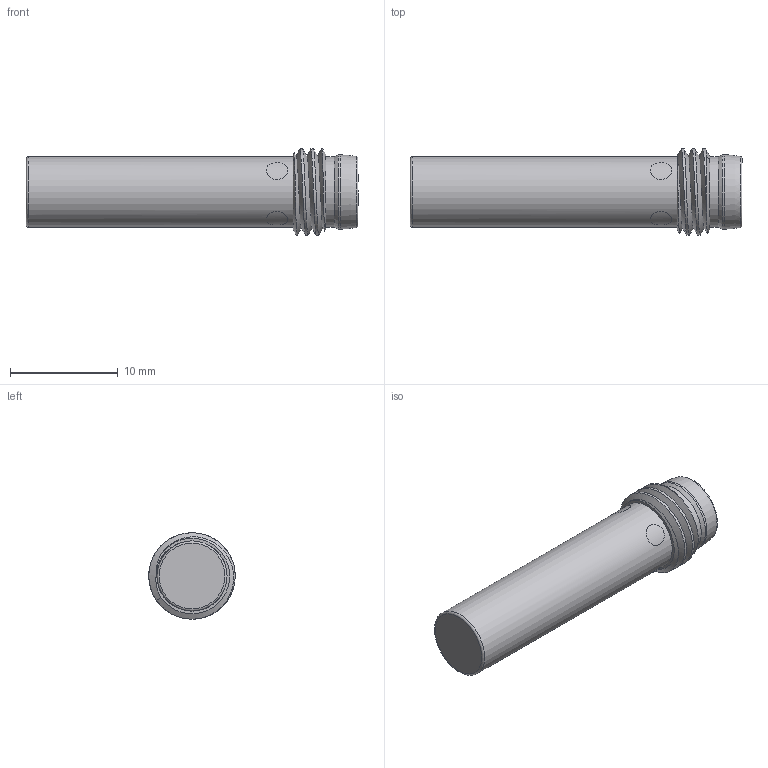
import cadquery as cq
import math

TOTAL_LENGTH = 30.75
BODY_RADIUS = 6.5 / 2
END_FILLET = 0.2

THREAD_RADIUS = 8.0 / 2
THREAD_PITCH = 1.0
THREAD_LENGTH = 3.0
HEAD_END_LENGTH = 3.0
THREAD_END = TOTAL_LENGTH - HEAD_END_LENGTH
THREAD_START = THREAD_END - THREAD_LENGTH
CREST_FLAT = 0.23
FLANK_HALF_ANGLE = 30.0
THREAD_CHAMFER_RADIAL = 0.5
THREAD_CHAMFER_AXIAL = THREAD_CHAMFER_RADIAL * math.tan(math.radians(FLANK_HALF_ANGLE))
GROOVE_PHASE = 0.25
GROOVE_LEAD_TURNS = 1
GROOVE_OVERCUT = 0.1

NECK_LENGTH = 0.8
HEAD_RADIUS = 6.9 / 2
HEAD_CONE_LENGTH = 0.35
HEAD_LAND_LENGTH = 0.2
HEAD_CROWN_SAG = 0.04

PIN_RADIUS = 2.0 / 2
PIN_COUNT = 4
PIN_X = 23.25
PIN_DEPTH = 1.0
PIN_ANGLE = 38.5


def make_body():
    """Revolve the shank, neck and crowned head, then round both end rims."""
    cone_start = THREAD_END + NECK_LENGTH
    land_start = cone_start + HEAD_CONE_LENGTH
    crown_start = land_start + HEAD_LAND_LENGTH
    crown_middle = (crown_start + TOTAL_LENGTH) / 2
    crown_middle_radius = (HEAD_RADIUS + BODY_RADIUS) / 2 + HEAD_CROWN_SAG
    profile = (
        cq.Workplane("XY")
        .moveTo(0, 0)
        .lineTo(0, BODY_RADIUS)
        .lineTo(cone_start, BODY_RADIUS)
        .lineTo(land_start, HEAD_RADIUS)
        .lineTo(crown_start, HEAD_RADIUS)
        .threePointArc((crown_middle, crown_middle_radius), (TOTAL_LENGTH, BODY_RADIUS))
        .lineTo(TOTAL_LENGTH, 0)
        .close()
    )
    body = profile.revolve(360, (0, 0, 0), (1, 0, 0))
    return body.faces("<X or >X").edges().fillet(END_FILLET)


def make_thread_groove():
    """Sweep the V groove of a right-handed thread, with the thread axis along Z."""
    flank_slope = math.tan(math.radians(FLANK_HALF_ANGLE))
    half_width = (THREAD_PITCH - CREST_FLAT) / 2
    root_radius = THREAD_RADIUS - half_width / flank_slope
    outer_radius = THREAD_RADIUS + GROOVE_OVERCUT
    outer_half_width = half_width + GROOVE_OVERCUT * flank_slope
    start = -GROOVE_PHASE - GROOVE_LEAD_TURNS * THREAD_PITCH
    height = THREAD_LENGTH + 2 * GROOVE_LEAD_TURNS * THREAD_PITCH
    helix = cq.Wire.makeHelix(THREAD_PITCH, height, THREAD_RADIUS, center=cq.Vector(0, 0, start))
    return (
        cq.Workplane("XZ")
        .moveTo(root_radius, start)
        .lineTo(outer_radius, start + outer_half_width)
        .lineTo(outer_radius, start - outer_half_width)
        .close()
        .sweep(cq.Workplane(helix), isFrenet=True)
    )


def make_chamfer_envelope():
    """Double cone on the Z axis that bounds the chamfered collar; its widest ring lies outside the crests."""
    chamfer_radius = THREAD_RADIUS - THREAD_CHAMFER_RADIAL
    middle = THREAD_LENGTH / 2
    widest_radius = chamfer_radius + middle * THREAD_CHAMFER_RADIAL / THREAD_CHAMFER_AXIAL
    return (
        cq.Workplane("XZ")
        .moveTo(0, 0)
        .lineTo(chamfer_radius, 0)
        .lineTo(widest_radius, middle)
        .lineTo(chamfer_radius, THREAD_LENGTH)
        .lineTo(0, THREAD_LENGTH)
        .close()
        .revolve(360, (0, 0, 0), (0, 1, 0))
    )


def make_threaded_collar():
    """Cut the groove in a square-ended blank, chamfer its ends and lay it along X."""
    blank = cq.Workplane("XY").circle(THREAD_RADIUS).extrude(THREAD_LENGTH)
    collar = blank.cut(make_thread_groove()).intersect(make_chamfer_envelope())
    return collar.rotate((0, 0, 0), (0, 1, 0), 90).translate((THREAD_START, 0, 0))


def make_flush_pin(angle):
    """Radial pin whose outer end follows the body surface."""
    pin = (
        cq.Workplane("XY")
        .center(PIN_X, 0)
        .circle(PIN_RADIUS)
        .extrude(PIN_DEPTH + BODY_RADIUS)
        .translate((0, 0, BODY_RADIUS - PIN_DEPTH))
    )
    shank = cq.Workplane("YZ").circle(BODY_RADIUS).extrude(TOTAL_LENGTH)
    angle_from_z = 90 - angle
    return pin.intersect(shank).rotate((0, 0, 0), (1, 0, 0), angle_from_z)


result = make_body().union(make_threaded_collar())

for index in range(PIN_COUNT):
    pin_angle = PIN_ANGLE + index * 360 / PIN_COUNT
    result = result.union(make_flush_pin(pin_angle), clean=False)